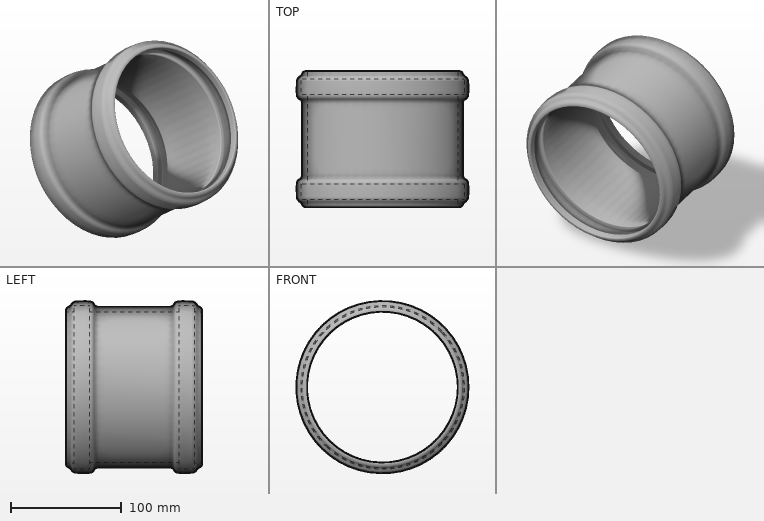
import cadquery as cq
length = 123.0
half_length = length / 2
crown_radius = 155.7 / 2

tube_outer_radius = 145.4 / 2
tube_bore_radius = 135.8 / 2

lip_bore_radius = 136.1 / 2
groove_radius = 147.7 / 2
groove_start = 7.2
groove_end = 21.2
edge_round = 1.0

crown_edge_radius = 77.4
crown_start = 9.0
crown_end = 21.9
shoulder_radius = 74.7
shoulder_depth = 5.0
lip_neck_radius = 72.5
lip_neck_depth = 2.35
flare_radius = 74.95
flare_depth = 25.3
flare_end = 29.2


def at_depth(radius, depth):
    """Profile point at a radius and a distance inward from the open end."""
    return (radius, half_length - depth)


def revolve_about_axis(profile):
    """Revolve a closed profile about Y, the axis of the coupling."""
    return profile.revolve(360, (0, 0), (0, 1))


def make_tube():
    """Plain tube between the ends; its slanted end faces lie inside the joined wall."""
    bore_start = groove_end + edge_round
    bore_corner = at_depth(tube_bore_radius, bore_start)
    outer_corner = at_depth(tube_outer_radius, flare_end)
    profile = (
        cq.Workplane("XY")
        .moveTo(*bore_corner)
        .lineTo(*outer_corner)
        .lineTo(outer_corner[0], -outer_corner[1])
        .lineTo(bore_corner[0], -bore_corner[1])
        .close()
    )
    return revolve_about_axis(profile)


def make_socket_end():
    """Seal groove, lip and bead at the +Y end."""
    crown_middle = (crown_start + crown_end) / 2

    profile = (
        cq.Workplane("XY")
        .moveTo(*at_depth(tube_bore_radius, groove_end + edge_round))
        .radiusArc(at_depth(tube_bore_radius + edge_round, groove_end), edge_round)
        .lineTo(*at_depth(groove_radius - edge_round, groove_end))
        .tangentArcPoint(at_depth(groove_radius, groove_end - edge_round), relative=False)
        .lineTo(*at_depth(groove_radius, groove_start + edge_round))
        .tangentArcPoint(at_depth(groove_radius - edge_round, groove_start), relative=False)
        .lineTo(*at_depth(lip_bore_radius + edge_round, groove_start))
        .tangentArcPoint(at_depth(lip_bore_radius, groove_start - edge_round), relative=False)
        .lineTo(*at_depth(lip_bore_radius, edge_round))
        .tangentArcPoint(at_depth(lip_bore_radius + edge_round, 0), relative=False)
    )

    profile = (
        profile
        .tangentArcPoint(at_depth(lip_neck_radius, lip_neck_depth), relative=False)
        .tangentArcPoint(at_depth(shoulder_radius, shoulder_depth), relative=False)
        .tangentArcPoint(at_depth(crown_edge_radius, crown_start), relative=False)
        .threePointArc(at_depth(crown_radius, crown_middle), at_depth(crown_edge_radius, crown_end))
        .tangentArcPoint(at_depth(flare_radius, flare_depth), relative=False)
        .tangentArcPoint(at_depth(tube_outer_radius, flare_end), relative=False)
        .close()
    )
    return revolve_about_axis(profile)


socket_end = make_socket_end()
result = make_tube().union(socket_end).union(socket_end.mirror("XZ"))